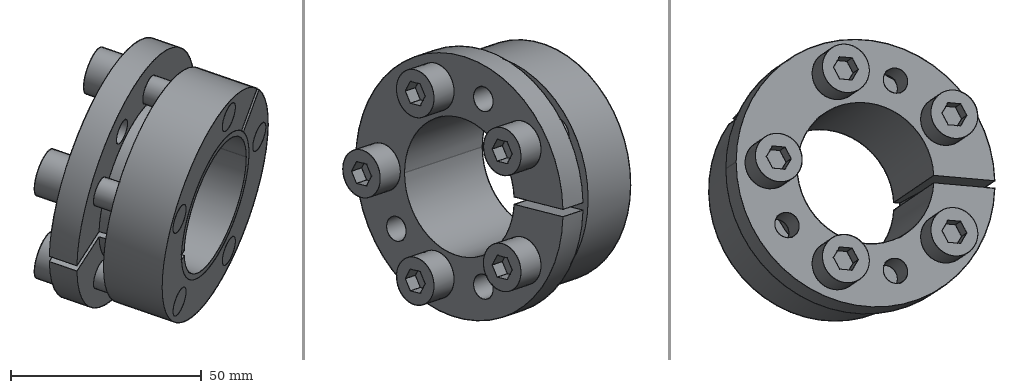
import cadquery as cq
import math


total_length = 39.0
head_height = 8.0
flange_thickness = 8.0
ring_length = 17.0
ring_end = total_length - head_height
ring_start = ring_end - ring_length

flange_diameter = 72.0
ring_diameter = 65.0
bore_diameter = 38.0
bolt_circle_radius = 27.0

cone_start_radius = 22.45
cone_end_radius = 20.65

slit_width = 2.0
sleeve_slit_angle = 180
ring_slit_angle = 36

division = 36
screw_angles = [division * step for step in (0, 2, 4, 6, 8)]
jack_angles = [division * step for step in (3, 7, 9)]
head_diameter = 13.0
shank_diameter = 8.0
socket_flats = 6.0
socket_depth = 4.0
jack_hole_diameter = 6.8


def cylinder(diameter, start, end):
    """Cylinder about the X axis between two X positions."""
    return cq.Workplane("YZ", origin=(start, 0, 0)).circle(diameter / 2).extrude(end - start)


def on_bolt_circle(body, angle):
    """Move a body from the X axis to a position on the bolt circle, without turning it."""
    y = bolt_circle_radius * math.cos(math.radians(angle))
    z = bolt_circle_radius * math.sin(math.radians(angle))
    return body.translate((0, y, z))


def radial_slit(angle, start, end):
    """Slot cutter from the axis outward past the flange rim."""
    length = end - start
    slab = cq.Workplane("XY").box(length, flange_diameter, slit_width, centered=(False, False, True))
    return slab.translate((start, 0, 0)).rotate((0, 0, 0), (1, 0, 0), angle)


def taper_cone():
    """Solid bounded by the tapered seat, from the flange to the rear face."""
    outline = [
        (flange_thickness, 0),
        (flange_thickness, cone_start_radius),
        (ring_end, cone_end_radius),
        (ring_end, 0),
    ]
    return cq.Workplane("XY").polyline(outline).close().revolve(360, (0, 0, 0), (1, 0, 0))


def make_flanged_sleeve():
    """Slit conical sleeve with the front flange, screw holes and jacking holes."""
    sleeve = cylinder(flange_diameter, 0, flange_thickness).union(taper_cone())
    sleeve = sleeve.cut(cylinder(bore_diameter, 0, ring_end))
    for angle in screw_angles:
        screw_hole = cylinder(shank_diameter, 0, flange_thickness)
        sleeve = sleeve.cut(on_bolt_circle(screw_hole, angle))
    for angle in jack_angles:
        jack_hole = cylinder(jack_hole_diameter, 0, flange_thickness)
        sleeve = sleeve.cut(on_bolt_circle(jack_hole, angle))
    return sleeve.cut(radial_slit(sleeve_slit_angle, 0, ring_end))


def make_clamp_ring():
    """Slit outer ring with a tapered bore and through holes for the screws."""
    ring = cylinder(ring_diameter, ring_start, ring_end).cut(taper_cone())
    for angle in screw_angles:
        screw_hole = cylinder(shank_diameter, ring_start, ring_end)
        ring = ring.cut(on_bolt_circle(screw_hole, angle))
    return ring.cut(radial_slit(ring_slit_angle, ring_start, ring_end))


def make_screw(angle):
    """Socket head screw; two corners of its hexagon point along Y."""
    head = cylinder(head_diameter, -head_height, 0)
    shank = cylinder(shank_diameter, 0, ring_end)
    socket_corners = socket_flats / math.cos(math.radians(30))
    socket = (
        cq.Workplane("YZ", origin=(-head_height, 0, 0))
        .polygon(6, socket_corners)
        .extrude(socket_depth)
    )
    return on_bolt_circle(head.union(shank).cut(socket), angle)


flanged_sleeve = make_flanged_sleeve()
clamp_ring = make_clamp_ring()
screws = [make_screw(angle) for angle in screw_angles]

result = cq.Compound.makeCompound(
    [flanged_sleeve.solids().val(), clamp_ring.solids().val(), *[screw.solids().val() for screw in screws]]
)